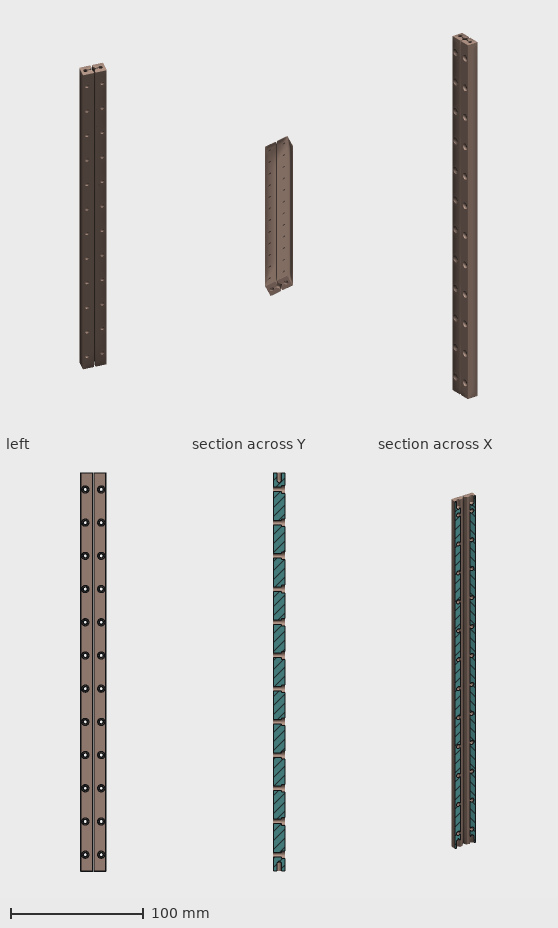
import cadquery as cq
import math

LENGTH = 300.0
THICKNESS = 9.0
PAIR_WIDTH = 19.0
RAIL_GAP = 1.05
RAIL_WIDTH = (PAIR_WIDTH - RAIL_GAP) / 2
EDGE_CHAMFER = 0.12

GROOVE_REACH = 2.7
GROOVE_ANGLE = 90.0
RELIEF_WIDTH = 1.0
RELIEF_REACH = 4.2

HOLE_COUNT = 12
HOLE_PITCH = LENGTH / HOLE_COUNT
ROW_OFFSET = 6.0
HOLE_DIAMETER = 3.0
COUNTERBORE_DIAMETER = 5.5
COUNTERBORE_DEPTH = 2.7

END_HOLE_DIAMETER = 3.3
END_HOLE_DEPTH = 6.0
DRILL_POINT_ANGLE = 90.0


def rail_blank():
    """Plain bar on the +Y side of the gap, with all its edges broken."""
    return (
        cq.Workplane("XY")
        .box(THICKNESS, RAIL_WIDTH, LENGTH)
        .edges()
        .chamfer(EDGE_CHAMFER)
        .translate((0, (RAIL_GAP + RAIL_WIDTH) / 2, 0))
    )


def groove():
    """V-groove with its relief slot, opening toward the middle of the pair."""
    half_relief = RELIEF_WIDTH / 2
    slope = math.tan(math.radians(GROOVE_ANGLE / 2))
    half_mouth = GROOVE_REACH * slope
    relief_start = GROOVE_REACH - half_relief / slope
    return (
        cq.Workplane("XY", origin=(0, 0, -LENGTH / 2))
        .polyline([
            (-half_mouth, 0),
            (-half_relief, relief_start),
            (-half_relief, RELIEF_REACH),
            (half_relief, RELIEF_REACH),
            (half_relief, relief_start),
            (half_mouth, 0),
        ])
        .close()
        .extrude(LENGTH)
    )


def mounting_holes():
    """Row of through holes, counterbored from the -X face."""
    centres = [
        (ROW_OFFSET, (i - (HOLE_COUNT - 1) / 2) * HOLE_PITCH)
        for i in range(HOLE_COUNT)
    ]
    face = cq.Workplane("YZ", origin=(-THICKNESS / 2, 0, 0)).pushPoints(centres)
    through = face.circle(HOLE_DIAMETER / 2).extrude(THICKNESS)
    counterbores = face.circle(COUNTERBORE_DIAMETER / 2).extrude(COUNTERBORE_DEPTH)
    return through.union(counterbores)


def end_hole():
    """Blind hole with a conical bottom, sunk from the +Z end face."""
    radius = END_HOLE_DIAMETER / 2
    point_height = radius / math.tan(math.radians(DRILL_POINT_ANGLE / 2))
    end_face = LENGTH / 2
    shoulder = end_face - END_HOLE_DEPTH
    return (
        cq.Workplane("XZ", origin=(0, ROW_OFFSET, 0))
        .polyline([
            (0, end_face),
            (radius, end_face),
            (radius, shoulder),
            (0, shoulder - point_height),
        ])
        .close()
        .revolve(360, (0, 0, 0), (0, 1, 0))
    )


def make_rail(side):
    """One rail; side is +1 for the rail on +Y and -1 for its mirror image on -Y."""
    upper_hole = end_hole()
    rail = (
        rail_blank()
        .cut(groove())
        .cut(mounting_holes())
        .cut(upper_hole)
        .cut(upper_hole.mirror("XY"))
    )
    return rail if side > 0 else rail.mirror("XZ")


rails = [make_rail(side) for side in (1, -1)]

result = cq.Compound.makeCompound([rail.val() for rail in rails])